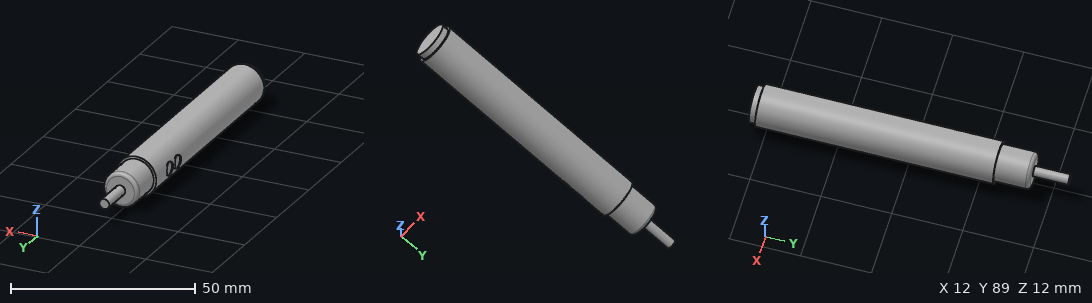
import cadquery as cq

total_length = 89.0
cable_length = 10.0
cap_length = 10.0
front_lip_length = 2.0
tube_length = total_length - cable_length - cap_length - front_lip_length

tube_diameter = 12.0
insert_diameter = 10.5
cable_diameter = 3.0

cap_fillet = 1.1

window_count = 2
window_diameter = 3.9
window_spacing = 5.0
rear_window_from_tube_end = 8.6
window_floor_depth = 0.45

tube_front = front_lip_length
tube_rear = tube_front + tube_length
cap_rear = tube_rear + cap_length


def cylinder_along_y(start, length, diameter):
    """Solid cylinder on the Y axis, running towards +Y from start."""
    plane = cq.Plane(origin=(0, start, 0), xDir=(1, 0, 0), normal=(0, 1, 0))
    return cq.Workplane(plane).circle(diameter / 2).extrude(length)


def window_cutter(y):
    """Cutter that enters the tube from -X and stops at the window floor."""
    tube_radius = tube_diameter / 2
    plane = cq.Plane(origin=(-tube_radius, y, 0), xDir=(0, 1, 0), normal=(1, 0, 0))
    return cq.Workplane(plane).circle(window_diameter / 2).extrude(window_floor_depth)


front_lip = cylinder_along_y(0, front_lip_length, insert_diameter)
tube = cylinder_along_y(tube_front, tube_length, tube_diameter)
cap = cylinder_along_y(tube_rear, cap_length, insert_diameter).faces(">Y").edges().fillet(cap_fillet)
cable = cylinder_along_y(cap_rear, cable_length, cable_diameter)

for index in range(window_count):
    window_y = tube_rear - rear_window_from_tube_end - index * window_spacing
    tube = tube.cut(window_cutter(window_y))

result = tube.union(front_lip).union(cap).union(cable)